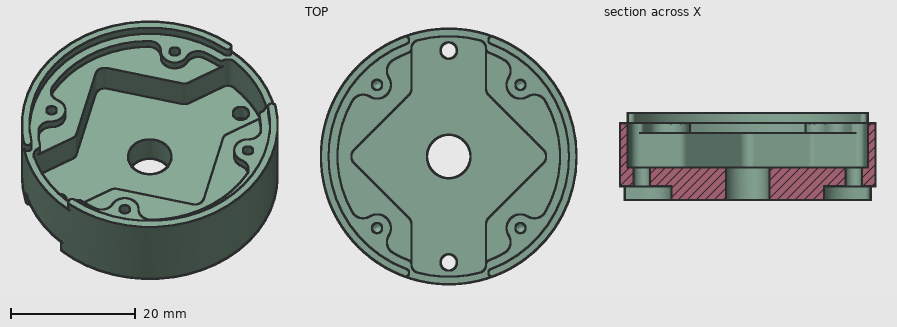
import cadquery as cq
import math

body_radius = 20.5
total_height = 14.0
rim_height = 1.65
shelf_z = total_height - rim_height

rim_thickness = 1.25
rim_inner_radius = body_radius - rim_thickness
rim_end_angle = 20.5

ledge_depth = 1.55
ledge_z = shelf_z - ledge_depth
ledge_radius = 17.85
boss_offset = 11.5
boss_radius = 2.2
boss_blend_radius = 2.0
screw_diameter = 1.65
screw_depth = 3.3
drill_point_angle = 118.0

floor_z = 5.25
channel_half_width = 6.0
channel_end_fillet = 1.4
diamond_reach = 16.25
diamond_tip_fillet = 1.5
diamond_channel_fillet = 1.3
junction_fillet = 0.6

shaft_diameter = 6.93
mount_diameter = 2.6
mount_offset = 16.97

notch_height = 2.2
notch_radius = 4.75
notch_mouth_fillet = 0.78

PICK_SIZE = 0.1


def cylinder(radius, bottom, top):
    return cq.Workplane("XY").workplane(offset=bottom).circle(radius).extrude(top - bottom)


def fillet_vertical_edges(solid, points, radius, middle_z):
    """Round the vertical edges that stand at the (x, y) points and have their midpoint at middle_z."""
    picked = solid.newObject([])
    for x, y in points:
        low = (x - PICK_SIZE, y - PICK_SIZE, middle_z - PICK_SIZE)
        high = (x + PICK_SIZE, y + PICK_SIZE, middle_z + PICK_SIZE)
        picked = picked.add(solid.edges("|Z").edges(cq.selectors.BoxSelector(low, high)))
    return picked.fillet(radius)


def mirrored(x, y):
    return [(sx * x, sy * y) for sx in (-1, 1) for sy in (-1, 1)]


def make_rim_space():
    """The space above the shelf: inside the rim and in the gaps between its ends."""
    space = cylinder(rim_inner_radius, shelf_z, total_height)
    wedge_y = 2 * body_radius
    wedge_x = wedge_y * math.tan(math.radians(rim_end_angle))
    for side in (-1, 1):
        outline = [(0, 0), (wedge_x, side * wedge_y), (-wedge_x, side * wedge_y)]
        gap = cq.Workplane("XY").workplane(offset=shelf_z).polyline(outline).close().extrude(rim_height)
        space = space.union(gap)
    end_radius = body_radius - rim_thickness / 2
    end_x = end_radius * math.sin(math.radians(rim_end_angle))
    end_y = end_radius * math.cos(math.radians(rim_end_angle))
    rounded_end = cylinder(rim_thickness / 2, shelf_z, total_height)
    for x, y in mirrored(end_x, end_y):
        space = space.cut(rounded_end.translate((x, y, 0)))
    return space


def make_deep_pocket(bottom, top):
    height = top - bottom
    middle_z = (bottom + top) / 2
    plane = cq.Workplane("XY").workplane(offset=bottom)
    channel = plane.rect(2 * channel_half_width, 2 * body_radius).extrude(height)
    channel = channel.intersect(cylinder(rim_inner_radius, bottom, top))
    tips = [(diamond_reach, 0), (0, diamond_reach), (-diamond_reach, 0), (0, -diamond_reach)]
    pocket = channel.union(plane.polyline(tips).close().extrude(height))
    end_y = math.sqrt(rim_inner_radius**2 - channel_half_width**2)
    pocket = fillet_vertical_edges(
        pocket, mirrored(channel_half_width, end_y), channel_end_fillet, middle_z
    )
    pocket = fillet_vertical_edges(
        pocket, [(-diamond_reach, 0), (diamond_reach, 0)], diamond_tip_fillet, middle_z
    )
    corner_y = diamond_reach - channel_half_width
    return fillet_vertical_edges(
        pocket, mirrored(channel_half_width, corner_y), diamond_channel_fillet, middle_z
    )


def make_ledge_pocket():
    middle_z = (ledge_z + shelf_z) / 2
    pocket = cylinder(ledge_radius, ledge_z, shelf_z)
    boss = cylinder(boss_radius, ledge_z, shelf_z)
    for x, y in mirrored(boss_offset, boss_offset):
        pocket = pocket.cut(boss.translate((x, y, 0)))

    boss_distance = boss_offset * math.sqrt(2)
    cosine = (ledge_radius**2 + boss_distance**2 - boss_radius**2) / (2 * ledge_radius * boss_distance)
    half_angle = math.acos(cosine)
    corners = []
    for angle in (math.pi / 4 - half_angle, math.pi / 4 + half_angle):
        corners += mirrored(ledge_radius * math.cos(angle), ledge_radius * math.sin(angle))
    pocket = fillet_vertical_edges(pocket, corners, boss_blend_radius, middle_z)

    pocket = pocket.union(make_deep_pocket(ledge_z, shelf_z))
    junction_y = math.sqrt(ledge_radius**2 - channel_half_width**2)
    return fillet_vertical_edges(
        pocket, mirrored(channel_half_width, junction_y), junction_fillet, middle_z
    )


def make_screw_hole():
    radius = screw_diameter / 2
    point_depth = radius / math.tan(math.radians(drill_point_angle / 2))
    bottom = shelf_z - screw_depth
    profile = [(0, shelf_z), (radius, shelf_z), (radius, bottom), (0, bottom - point_depth)]
    return cq.Workplane("XZ").polyline(profile).close().revolve(360, (0, 0, 0), (0, 1, 0))


def cut_notches(body):
    for side in (-1, 1):
        end = cylinder(notch_radius, 0, notch_height).translate((0, side * mount_offset, 0))
        mouth = (
            cq.Workplane("XY")
            .center(0, side * (mount_offset + body_radius / 2))
            .rect(2 * notch_radius, body_radius)
            .extrude(notch_height)
        )
        body = body.cut(end.union(mouth))
    mouth_y = math.sqrt(body_radius**2 - notch_radius**2)
    return fillet_vertical_edges(
        body, mirrored(notch_radius, mouth_y), notch_mouth_fillet, notch_height / 2
    )


result = cut_notches(cylinder(body_radius, 0, total_height))
result = result.cut(make_rim_space())
result = result.cut(make_ledge_pocket())
result = result.cut(make_deep_pocket(floor_z, ledge_z))
for hole_x, hole_y in mirrored(boss_offset, boss_offset):
    result = result.cut(make_screw_hole().translate((hole_x, hole_y, 0)))
result = result.cut(cylinder(shaft_diameter / 2, 0, floor_z))
for hole_y in (-mount_offset, mount_offset):
    result = result.cut(cylinder(mount_diameter / 2, 0, floor_z).translate((0, hole_y, 0)))